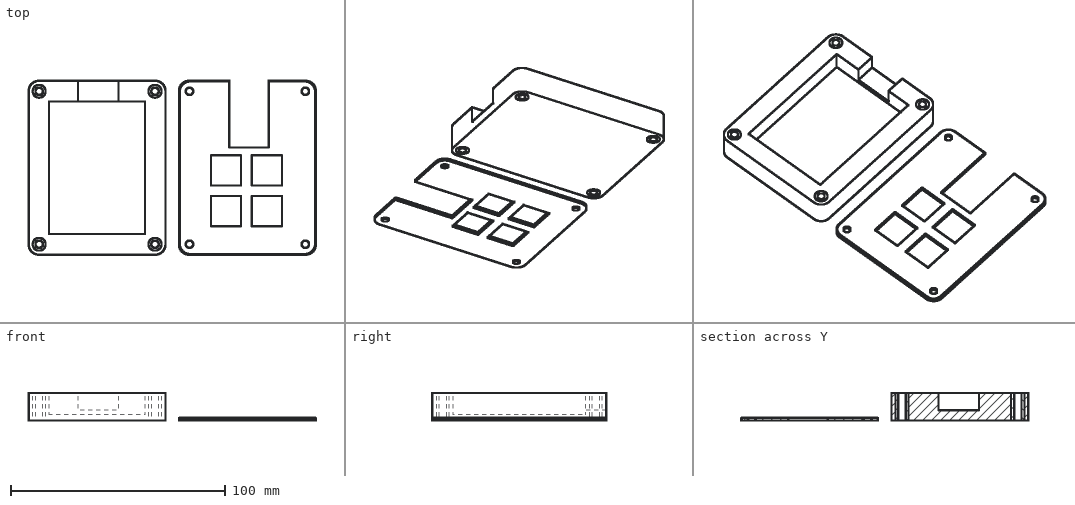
import cadquery as cq

overall_width = 134.1

width = 64.0
length = 81.3
corner_radius = 5.0
screw_diameter = 3.4
screw_inset = corner_radius

housing_height = 13.0
housing_wall = 9.7
pocket_depth = 10.0
notch_left = 23.2
notch_width = 18.8
notch_depth = 8.0

insert_diameter = 6.0

plate_left = overall_width - width
plate_thickness = 1.5
plate_chamfer = 0.47
slot_left = 23.6
slot_width = 18.2
slot_length = 31.1
window_columns = 2
window_rows = 2
window_size = 14.0
window_pitch = 19.0
window_left = 15.0
window_front = 13.4

screw_points = [
    (x, y)
    for x in (screw_inset, width - screw_inset)
    for y in (screw_inset, length - screw_inset)
]


def block(x, y, z, size_x, size_y, size_z):
    """Rectangular block placed by its lowest corner."""
    return cq.Workplane("XY").box(size_x, size_y, size_z, centered=False).translate((x, y, z))


def footprint_slab(height):
    """Slab with the shared outline and rounded vertical corners."""
    return block(0, 0, 0, width, length, height).edges("|Z").fillet(corner_radius)


def screw_cylinders(diameter, height):
    """Cylinders standing at the four screw positions."""
    return (
        cq.Workplane("XY")
        .pushPoints(screw_points)
        .circle(diameter / 2)
        .extrude(height)
    )


def make_housing():
    """Tray with a pocket, a cable notch in its rear wall and seats for the inserts."""
    pocket = block(
        housing_wall,
        housing_wall,
        housing_height - pocket_depth,
        width - 2 * housing_wall,
        length - 2 * housing_wall,
        pocket_depth,
    )
    notch = block(
        notch_left,
        length - housing_wall,
        housing_height - notch_depth,
        notch_width,
        housing_wall,
        notch_depth,
    )
    insert_seats = screw_cylinders(insert_diameter, housing_height)
    return footprint_slab(housing_height).cut(pocket).cut(notch).cut(insert_seats)


def make_insert(x, y):
    """Plain sleeve that runs the full height of the housing."""
    return (
        cq.Workplane("XY", origin=(x, y, 0))
        .circle(insert_diameter / 2)
        .circle(screw_diameter / 2)
        .extrude(housing_height)
    )


def make_plate():
    """Cover plate with a chamfered rim, a rear slot, a grid of key windows and screw holes."""
    plate = footprint_slab(plate_thickness).faces(">Z").chamfer(plate_chamfer)
    plate = plate.cut(block(slot_left, length - slot_length, 0, slot_width, slot_length, plate_thickness))
    for column in range(window_columns):
        for row in range(window_rows):
            window_x = window_left + column * window_pitch
            window_y = window_front + row * window_pitch
            plate = plate.cut(block(window_x, window_y, 0, window_size, window_size, plate_thickness))
    plate = plate.cut(screw_cylinders(screw_diameter, plate_thickness))
    return plate.translate((plate_left, 0, 0))


housing = make_housing()
inserts = [make_insert(x, y) for x, y in screw_points]
plate = make_plate()

result = cq.Compound.makeCompound(
    [housing.val(), plate.val(), *[insert.val() for insert in inserts]]
)